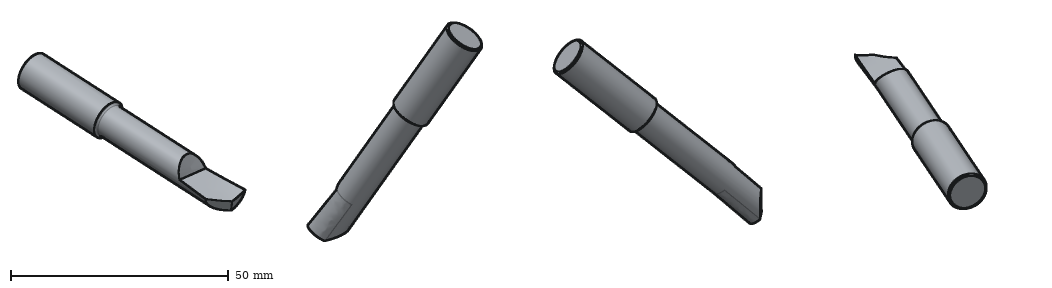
import cadquery as cq
import math

LENGTH = 63.5
SHANK_RADIUS = 4.75
SHANK_LENGTH = 24.3
SHANK_CHAMFER = 0.45
CHAMFER_LENGTH = 0.25
NECK_RADIUS = 4.05
NECK_FILLET = 0.5

HEAD_START = 51.05
HEAD_FLARE = 0.45
END_RELIEF = 0.6

FLOOR_START_Z = 0.05
FLOOR_TILT = -0.17
CUT_RISE = 0.07
WALL_TOP_X = 48.4
FLOOR_SKEW = 0.09
WALL_TOP_SKEW = -0.15
TIP_BACK_Z = 0.0
TIP_MIDDLE_Z = -0.8
TIP_FRONT_Z = -0.25

CORNER_X = 59.0
CORNER_Y = 0.2
CORNER_RELIEF = 0.7

MARGIN = 1.3
POCKET_OVERLAP = 2.55
SIDE = SHANK_RADIUS + MARGIN


def polygon(points):
    return cq.Wire.makePolygon([cq.Vector(*p) for p in points], close=True)


def ruled_solid(first, second):
    return cq.Workplane(cq.Solid.makeLoft([first, second], True))


def shank_and_neck():
    fillet_top = NECK_RADIUS + NECK_FILLET
    arc_offset = NECK_FILLET * (1 - math.sqrt(0.5))
    return (
        cq.Workplane("XY")
        .lineTo(0, SHANK_RADIUS - SHANK_CHAMFER)
        .lineTo(CHAMFER_LENGTH, SHANK_RADIUS)
        .lineTo(SHANK_LENGTH, SHANK_RADIUS)
        .lineTo(SHANK_LENGTH, fillet_top)
        .threePointArc(
            (SHANK_LENGTH + arc_offset, NECK_RADIUS + arc_offset),
            (SHANK_LENGTH + NECK_FILLET, NECK_RADIUS),
        )
        .lineTo(LENGTH, NECK_RADIUS)
        .lineTo(LENGTH, 0)
        .close()
        .revolve(360, (0, 0, 0), (1, 0, 0))
    )


def flared_head():
    along_x = cq.Vector(1, 0, 0)
    root = cq.Wire.makeCircle(NECK_RADIUS, cq.Vector(HEAD_START, 0, 0), along_x)
    tip = cq.Wire.makeCircle(NECK_RADIUS, cq.Vector(LENGTH, HEAD_FLARE, 0), along_x)
    return ruled_solid(root, tip)


def start_point(x, y, height=0.0):
    """Point on the tilted plane through the foot of the wall, raised by height."""
    z = FLOOR_START_Z + FLOOR_TILT * y + CUT_RISE * (x - HEAD_START)
    return (x, y, z + height)


def pocket_wall_cut():
    """Everything above the tilted foot plane, bounded by the twisted wall."""
    top_z = SHANK_RADIUS
    end_x = LENGTH + MARGIN
    lean = (WALL_TOP_X - HEAD_START) / (NECK_RADIUS - FLOOR_START_Z)
    top_x = HEAD_START + lean * (top_z - FLOOR_START_Z)

    foot_shift = FLOOR_SKEW * SIDE
    top_shift = WALL_TOP_SKEW * SIDE
    bottom = polygon([
        start_point(HEAD_START - foot_shift, -SIDE),
        start_point(end_x, -SIDE),
        start_point(end_x, SIDE),
        start_point(HEAD_START + foot_shift, SIDE),
    ])
    top = polygon([
        (top_x - top_shift, -SIDE, top_z),
        (end_x, -SIDE, top_z),
        (end_x, SIDE, top_z),
        (top_x + top_shift, SIDE, top_z),
    ])
    return ruled_solid(bottom, top)


def pocket_floor_cut():
    """Ruled floor: straight at the wall, a shallow concave arc at the tip."""
    top_z = FLOOR_START_Z + POCKET_OVERLAP
    back_y = NECK_RADIUS + HEAD_FLARE
    shift = FLOOR_SKEW * back_y
    start = polygon([
        start_point(HEAD_START - shift, -back_y),
        start_point(HEAD_START + shift, back_y),
        start_point(HEAD_START + shift, back_y, POCKET_OVERLAP),
        start_point(HEAD_START - shift, -back_y, POCKET_OVERLAP),
    ])
    tip = (
        cq.Workplane("YZ", origin=(LENGTH, 0, 0))
        .moveTo(-back_y, TIP_FRONT_Z)
        .threePointArc((0, TIP_MIDDLE_Z), (back_y, TIP_BACK_Z))
        .lineTo(back_y, top_z)
        .lineTo(-back_y, top_z)
        .close()
        .val()
    )
    return ruled_solid(start, tip)


def end_relief_cut():
    slope = END_RELIEF / NECK_RADIUS
    return (
        cq.Workplane("XZ")
        .moveTo(LENGTH, 0)
        .lineTo(LENGTH - slope * SIDE, -SIDE)
        .lineTo(LENGTH + MARGIN, -SIDE)
        .lineTo(LENGTH + MARGIN, 0)
        .close()
        .extrude(SIDE, both=True)
    )


def corner_cut():
    """Prism leaning toward -X with depth, parallel to the slanted front corner."""
    slope_x = (LENGTH - CORNER_X) / (CORNER_Y + NECK_RADIUS)
    relief = CORNER_RELIEF / NECK_RADIUS

    def level(z):
        shift = relief * z
        return polygon([
            (CORNER_X - slope_x * (SIDE - NECK_RADIUS) + shift, -SIDE, z),
            (LENGTH + slope_x * SIDE + shift, CORNER_Y + SIDE, z),
            (LENGTH + slope_x * SIDE + shift, -SIDE, z),
        ])

    return ruled_solid(level(-SIDE), level(SIDE))


result = shank_and_neck().union(flared_head())
for cutter in (pocket_wall_cut(), pocket_floor_cut(), end_relief_cut(), corner_cut()):
    result = result.cut(cutter)